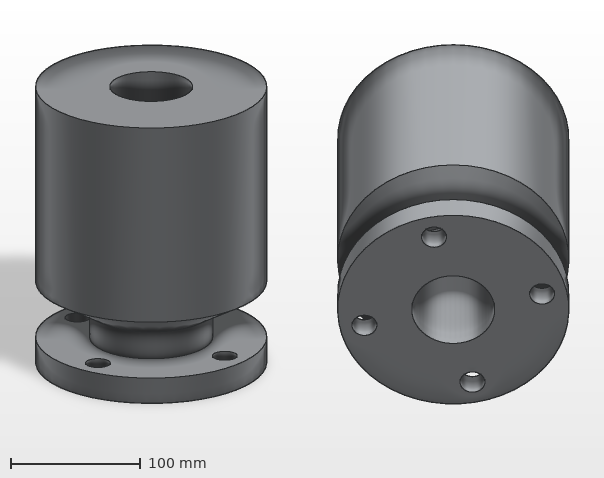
import cadquery as cq

total_height = 227.0
outer_diameter = 178.0
neck_diameter = 95.0
bore_diameter = 63.8
flange_thickness = 20.9
neck_height = 22.0
cone_height = 24.0
bolt_circle_radius = 70.0
bolt_hole_diameter = 19.0
bolt_hole_count = 4

neck_top = flange_thickness + neck_height
cone_top = neck_top + cone_height


def make_body():
    """Flange, neck, cone and cylinder revolved about Z around an open through bore."""
    outer_radius = outer_diameter / 2
    neck_radius = neck_diameter / 2
    bore_radius = bore_diameter / 2
    profile = [
        (bore_radius, 0),
        (outer_radius, 0),
        (outer_radius, flange_thickness),
        (neck_radius, flange_thickness),
        (neck_radius, neck_top),
        (outer_radius, cone_top),
        (outer_radius, total_height),
        (bore_radius, total_height),
    ]
    return cq.Workplane("XZ").polyline(profile).close().revolve(360, (0, 0), (0, 1))


def make_bolt_holes():
    """Cutters for the flange holes, equally spaced from the X axis."""
    return (
        cq.Workplane("XY")
        .polarArray(bolt_circle_radius, 0, 360, bolt_hole_count)
        .circle(bolt_hole_diameter / 2)
        .extrude(flange_thickness)
    )


result = make_body().cut(make_bolt_holes())